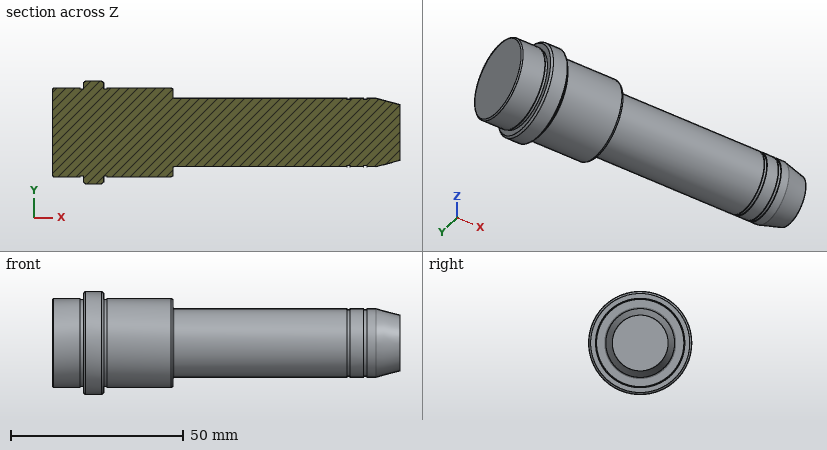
import cadquery as cq
import math

total_length = 101.0
head_diameter = 26.0
collar_diameter = 30.0
shaft_diameter = 20.0

head_length = 35.0
head_back_chamfer = 0.4
collar_start = 9.0
collar_width = 6.0
collar_chamfer = 0.6
relief_width = 0.9
relief_depth = 0.3

lead_in_length = 0.6
lead_in_depth = 0.3
shaft_root_radius = 0.3

groove_starts = (85.5, 90.4)
groove_width = 0.9
groove_depth = 0.3
nose_start = 93.9
nose_angle = math.radians(15)

head_radius = head_diameter / 2
collar_radius = collar_diameter / 2
shaft_radius = shaft_diameter / 2
collar_end = collar_start + collar_width


def cylinder(start, end, radius):
    """Solid cylinder along X."""
    return cq.Workplane("YZ", origin=(start, 0, 0)).circle(radius).extrude(end - start)


def ring_groove(start, width, radius, depth):
    """Ring to cut a square groove of the given depth into a cylinder."""
    return cylinder(start, start + width, radius + depth).cut(
        cylinder(start, start + width, radius - depth)
    )


def make_head():
    """Chamfered head with its collar and the undercuts beside it."""
    head = cylinder(0, head_length, head_radius)
    head = head.faces("<X").chamfer(head_back_chamfer)
    head = head.faces(">X").edges().chamfer(lead_in_length, lead_in_depth)
    for start in (collar_start - relief_width, collar_end):
        head = head.cut(ring_groove(start, relief_width, head_radius, relief_depth))
    collar = cylinder(collar_start, collar_end, collar_radius)
    return head.union(collar.faces("<X or >X").chamfer(collar_chamfer))


def make_shaft():
    """Grooved shaft with a conical nose."""
    tip_radius = shaft_radius - (total_length - nose_start) * math.tan(nose_angle)
    shaft = (
        cq.Workplane("XY")
        .moveTo(head_length, 0)
        .lineTo(head_length, shaft_radius)
        .lineTo(nose_start, shaft_radius)
        .lineTo(total_length, tip_radius)
        .lineTo(total_length, 0)
        .close()
        .revolve(360, (0, 0, 0), (1, 0, 0))
    )
    for start in groove_starts:
        shaft = shaft.cut(ring_groove(start, groove_width, shaft_radius, groove_depth))
    return shaft


def shaft_root_edge():
    """Box around the inner corner where the shaft meets the head."""
    margin = 0.1
    return cq.selectors.BoxSelector(
        (head_length - margin, -shaft_radius - margin, -shaft_radius - margin),
        (head_length + margin, shaft_radius + margin, shaft_radius + margin),
        boundingbox=True,
    )


result = make_head().union(make_shaft())
result = result.edges(shaft_root_edge()).fillet(shaft_root_radius)